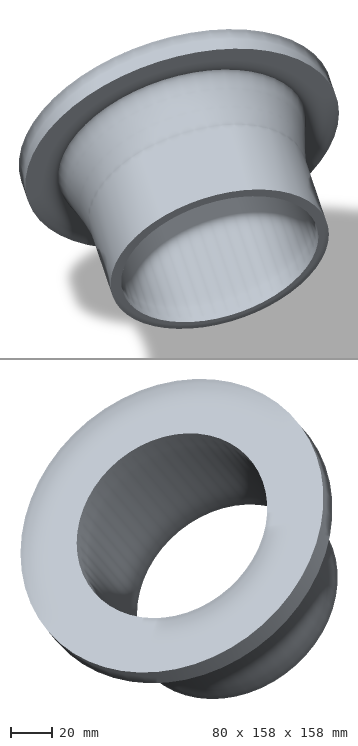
import cadquery as cq

total_length = 80.0
flange_diameter = 158.0
flange_thickness = 12.0
neck_base_diameter = 125.0
neck_end = 40.0
tube_diameter = 110.0
bore_diameter = 99.4
neck_sag = 0.8

flange_radius = flange_diameter / 2
neck_base_radius = neck_base_diameter / 2
tube_radius = tube_diameter / 2
bore_radius = bore_diameter / 2

neck_middle_x = (flange_thickness + neck_end) / 2
neck_middle_radius = (neck_base_radius + tube_radius) / 2 - neck_sag

half_section = (
    cq.Workplane("XY")
    .moveTo(0, bore_radius)
    .lineTo(0, flange_radius)
    .lineTo(flange_thickness, flange_radius)
    .lineTo(flange_thickness, neck_base_radius)
    .threePointArc((neck_middle_x, neck_middle_radius), (neck_end, tube_radius))
    .lineTo(total_length, tube_radius)
    .lineTo(total_length, bore_radius)
    .close()
)

result = half_section.revolve(360, (0, 0, 0), (1, 0, 0))